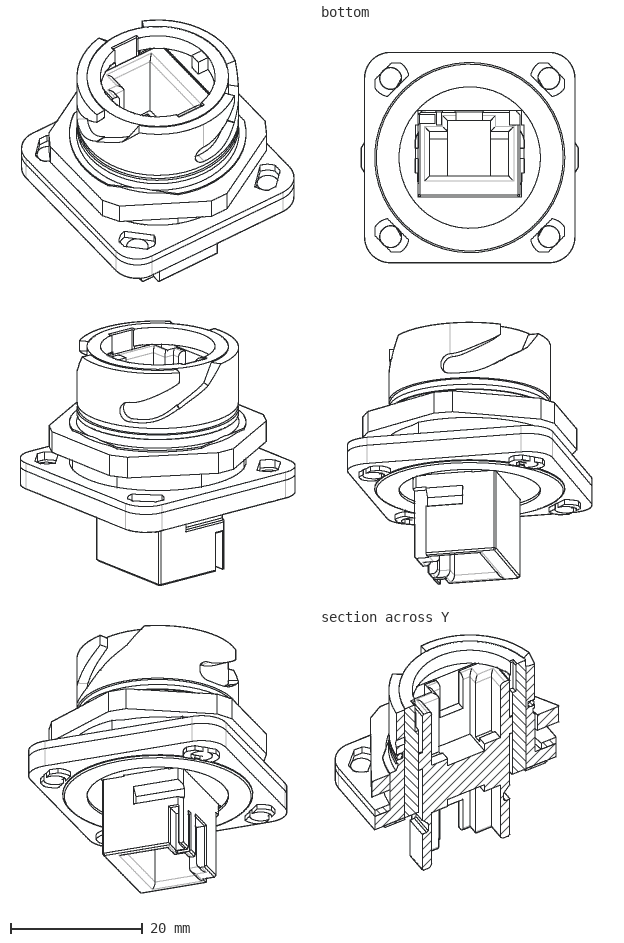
import cadquery as cq
import math


LUG_BOTTOM = 11.75
SEAL_BOTTOM = 12.12
FLANGE_BOTTOM = 12.5
FLANGE_TOP = 15.4
GASKET_TOP = 16.65
NUT_BOTTOM = 19.55
NUT_TOP = 22.85
THREAD_TOP = 23.1
RELIEF_TOP = 24.45
GROOVE_BOTTOM = 25.2
GROOVE_TOP = 26.25
COUPLER_TOP = 32.5
SLEEVE_TOP = 35.05
CORE_TOP = 35.23

FLANGE_SIDE = 32.0
FLANGE_CORNER_RADIUS = 3.95
SCREW_PITCH = 24.03
SCREW_HOLE_DIAMETER = 3.28
LUG_RADIUS = 2.8
LUG_HALF_WIDTH = 1.6
LUG_EDGE_MARGIN = 1.62

CORE_RADIUS = 10.75
SLEEVE_RADIUS = 12.3
THREAD_RADIUS = 13.42
FLAT_DISTANCE = 12.3
FLAT_ANGLES = (90, 194.5, 315)
RELIEF_RADIUS = 12.05
RELIEF_FOOT_RADIUS = 12.35
RELIEF_MID_RADIUS = 12.1

CORD_RADIUS = (GROOVE_TOP - GROOVE_BOTTOM) / 2
O_RING_RADIUS = 11.7
SEAL_RADIUS = 14.45
SEAL_CHAMFER = 0.25

SLOT_COUNT = 3
FIRST_SLOT_ANGLE = 270
SLOT_INNER_RADIUS = 10.2
SLOT_OUTER_RADIUS = 13.4
SLOT_END_ANGLE = -29.5
SLOT_END_RADIUS = 1.55
SLOT_END_Z = 28.6
ABOVE_TOP = 35.95
CHANNEL_SECTIONS = (
    (SLOT_END_ANGLE, SLOT_END_Z - SLOT_END_RADIUS, SLOT_END_Z + SLOT_END_RADIUS),
    (-20, 27.05, 30.58),
    (-10, 27.45, 31.5),
    (0.3, 28.45, 32.6),
    (8.4, 29.6, 33.75),
)
MOUTH_SECTIONS = (
    (7, 6.5, 29.25),
    (15.6, 13.6, 30.3),
    (24.2, 21, 31.2),
    (32.8, 28.3, 32.2),
)
LEAD_IN_SECTIONS = (MOUTH_SECTIONS[-1], (39.5, 43.4, SLEEVE_TOP))

BORE_RADIUS = 8.7
KEY_WIDTH = 1.75
KEY_TIP_Y = 6.87
KEY_ROOT_Y = 8.77
KEY_TOP = 35.1
WINDOW_HALF_WIDTH = 7.9
WIDE_WINDOW_HALF_WIDTH = 8.25
WIDE_WINDOW_FRONT = -4.93
LATCH_HALF_WIDTH = 9.05
LATCH_POCKET_BOTTOM = 29.6
LATCH_CHAMFER = 0.2
LATCH_POCKET_HALF_LENGTH = 2.33

NUT_ACROSS_FLATS = 30.0
NUT_ACROSS_CORNERS = 32.98
NUT_BORE_RADIUS = 12.75

COUPLER_CENTER_X = -0.1
COUPLER_HALF_WIDTH = 7.75
COUPLER_LEFT = COUPLER_CENTER_X - COUPLER_HALF_WIDTH
COUPLER_RIGHT = COUPLER_CENTER_X + COUPLER_HALF_WIDTH
COUPLER_FRONT = -7.1
COUPLER_BACK = 6.0
COUPLER_CHAMFER = 0.28
FRONT_CORNER_CHAMFER = 0.65
PORT_HALF_WIDTH = 6.02
PORT_BACK = 2.82
PORT_SHOULDER = -3.95
PORT_NECK_HALF_WIDTH = 3.25
PORT_FRONT = -5.6
PORT_DEPTH = 11.27
PORT_LIP = 0.78
KEYWAY_HALF_WIDTH = 2.22
KEYWAY_DEPTH = 6.98
SLOT_BEVEL = 0.2
PORT_LEDGE_BACK = -2.82
LEDGE_STEP = 0.7
SNAP_BACK = 0.8
SNAP_DEPTH = 1.05
SNAP_SILL_DEPTH = 0.78
SNAP_BOTTOM = 7.68
SNAP_SILL_TOP = 7.93
SNAP_RAMP_BOTTOM = 9.35
SNAP_TOP = 10.57
FINGER_TOP = 6.35
FINGER_BACK = -4.93
FINGER_FRONT = -6.73
FINGER_RIGHT = -5.25
FINGER_SLOT_RIGHT = -4.05
RECESS_LEFT = 6.05
RECESS_BACK = -4.93
RECESS_TOP = 10.75
NOTCH_LEFT = 3.8
NOTCH_BACK = -4.93
NOTCH_DEPTH = 14.1
TAB_BACK = 0.18
TAB_FRONT = -1.45
TAB_BOTTOM = 21.15
TAB_TOP = 24.65


def box(x1, x2, y1, y2, z1, z2):
    """A block between two corners."""
    return cq.Workplane("XY").box(x2 - x1, y2 - y1, z2 - z1, centered=False).translate((x1, y1, z1))


def cylinder(radius, z1, z2):
    return cq.Workplane("XY").workplane(offset=z1).circle(radius).extrude(z2 - z1)


def flange_plate(z1, z2):
    plate = cq.Workplane("XY").workplane(offset=z1).rect(FLANGE_SIDE, FLANGE_SIDE).extrude(z2 - z1)
    return plate.edges("|Z").fillet(FLANGE_CORNER_RADIUS)


def corner_lugs(z1, z2):
    """Four discs around the screw holes, cut flat towards the axis, the corner and the plate's sides."""
    limit = FLANGE_SIDE - 2 * LUG_EDGE_MARGIN
    lugs = cq.Workplane("XY").workplane(offset=z1).rect(SCREW_PITCH, SCREW_PITCH, forConstruction=True)
    lugs = lugs.vertices().circle(LUG_RADIUS).extrude(z2 - z1)
    lugs = lugs.intersect(cq.Workplane("XY").workplane(offset=z1).rect(limit, limit).extrude(z2 - z1))
    screw_radius = SCREW_PITCH / math.sqrt(2)
    band = cq.Workplane("XY").workplane(offset=z1)
    for angle in (45, 135):
        for side in (-1, 1):
            x = side * screw_radius * math.cos(math.radians(angle))
            y = side * screw_radius * math.sin(math.radians(angle))
            bar = cq.Workplane("XY").rect(2 * LUG_HALF_WIDTH, 4 * LUG_RADIUS).extrude(z2 - z1)
            bar = bar.rotate((0, 0, 0), (0, 0, 1), angle).translate((x, y, z1))
            band = band.add(bar)
    return lugs.intersect(band.combine())


def screw_holes():
    points = cq.Workplane("XY").rect(SCREW_PITCH, SCREW_PITCH, forConstruction=True).vertices()
    return points.circle(SCREW_HOLE_DIAMETER / 2).extrude(GASKET_TOP)


def bayonet_section(inner_angle, outer_angle, low, high):
    """An upright four-sided wire that crosses the sleeve wall."""
    corners = []
    for radius, angle, z in (
        (SLOT_INNER_RADIUS, inner_angle, low),
        (SLOT_OUTER_RADIUS, outer_angle, low),
        (SLOT_OUTER_RADIUS, outer_angle, high),
        (SLOT_INNER_RADIUS, inner_angle, high),
    ):
        turn = math.radians(angle)
        corners.append(cq.Vector(radius * math.cos(turn), radius * math.sin(turn), z))
    return cq.Wire.makePolygon(corners, close=True)


def bayonet_slot():
    """Round blind end, rising channel, open mouth and lead-in of one slot, about the +X direction."""
    end = cq.Workplane("YZ").workplane(offset=SLOT_INNER_RADIUS).center(0, SLOT_END_Z).circle(SLOT_END_RADIUS)
    end = end.extrude(SLOT_OUTER_RADIUS - SLOT_INNER_RADIUS).rotate((0, 0, 0), (0, 0, 1), SLOT_END_ANGLE)
    channel = cq.Solid.makeLoft([bayonet_section(a, a, low, high) for a, low, high in CHANNEL_SECTIONS])
    slot = end.union(cq.Workplane(channel))
    for sections in (MOUTH_SECTIONS, LEAD_IN_SECTIONS):
        opening = cq.Solid.makeLoft([bayonet_section(i, o, low, ABOVE_TOP) for i, o, low in sections])
        slot = slot.union(cq.Workplane(opening))
    return slot


def make_shell():
    profile = (
        cq.Workplane("XZ")
        .moveTo(CORE_RADIUS, FLANGE_BOTTOM)
        .lineTo(THREAD_RADIUS, FLANGE_BOTTOM)
        .lineTo(THREAD_RADIUS, THREAD_TOP)
        .lineTo(RELIEF_FOOT_RADIUS, THREAD_TOP)
        .threePointArc((RELIEF_MID_RADIUS, (THREAD_TOP + RELIEF_TOP) / 2), (RELIEF_RADIUS, RELIEF_TOP))
        .lineTo(SLEEVE_RADIUS, RELIEF_TOP)
        .lineTo(SLEEVE_RADIUS, GROOVE_BOTTOM)
        .lineTo(O_RING_RADIUS - CORD_RADIUS, GROOVE_BOTTOM)
        .lineTo(O_RING_RADIUS - CORD_RADIUS, GROOVE_TOP)
        .lineTo(SLEEVE_RADIUS, GROOVE_TOP)
        .lineTo(SLEEVE_RADIUS, SLEEVE_TOP)
        .lineTo(CORE_RADIUS, SLEEVE_TOP)
        .close()
    )
    shell = profile.revolve(360, (0, 0, 0), (0, 1, 0))
    for angle in FLAT_ANGLES:
        flat = box(FLAT_DISTANCE, 2 * FLAT_DISTANCE, -THREAD_RADIUS, THREAD_RADIUS, FLANGE_TOP, RELIEF_TOP)
        shell = shell.cut(flat.rotate((0, 0, 0), (0, 0, 1), angle))
    for index in range(SLOT_COUNT):
        angle = FIRST_SLOT_ANGLE + index * 360 / SLOT_COUNT
        shell = shell.cut(bayonet_slot().rotate((0, 0, 0), (0, 0, 1), angle))
    flange = flange_plate(FLANGE_BOTTOM, FLANGE_TOP).cut(cylinder(CORE_RADIUS, FLANGE_BOTTOM, FLANGE_TOP))
    shell = shell.union(flange).union(corner_lugs(LUG_BOTTOM, FLANGE_BOTTOM))
    return shell.cut(screw_holes())


def make_gasket():
    gasket = flange_plate(FLANGE_TOP, GASKET_TOP)
    gasket = gasket.cut(cylinder(THREAD_RADIUS, FLANGE_TOP, GASKET_TOP))
    return gasket.cut(corner_lugs(FLANGE_TOP, GASKET_TOP))


def make_rear_seal():
    seal = cylinder(SEAL_RADIUS, SEAL_BOTTOM, FLANGE_BOTTOM).faces("<Z").edges().chamfer(SEAL_CHAMFER)
    return seal.cut(cylinder(CORE_RADIUS, SEAL_BOTTOM, FLANGE_BOTTOM))


def make_o_ring():
    middle = (GROOVE_BOTTOM + GROOVE_TOP) / 2
    return cq.Workplane(cq.Solid.makeTorus(O_RING_RADIUS, CORD_RADIUS, cq.Vector(0, 0, middle)))


def make_nut(shell):
    """Hexagon nut with cut corners. Its round bore opens into the thread between the shell's flats."""
    height = NUT_TOP - NUT_BOTTOM
    base = cq.Workplane("XY").workplane(offset=NUT_BOTTOM)
    nut = base.polygon(6, NUT_ACROSS_FLATS / math.cos(math.pi / 6)).extrude(height)
    corners = base.polygon(6, NUT_ACROSS_CORNERS / math.cos(math.pi / 6)).extrude(height)
    nut = nut.intersect(corners.rotate((0, 0, 0), (0, 0, 1), 30))
    return nut.cut(cylinder(NUT_BORE_RADIUS, NUT_BOTTOM, NUT_TOP)).cut(shell)


def make_core():
    """Inner tube with a keyed bore, and a floor pierced by the window that holds the coupler."""
    core = cylinder(CORE_RADIUS, FLANGE_BOTTOM, CORE_TOP).cut(cylinder(BORE_RADIUS, COUPLER_TOP, CORE_TOP))
    core = core.union(box(-KEY_WIDTH / 2, KEY_WIDTH / 2, KEY_TIP_Y, KEY_ROOT_Y, COUPLER_TOP, KEY_TOP))
    for half_width, front, back in (
        (WINDOW_HALF_WIDTH, COUPLER_FRONT, COUPLER_BACK),
        (WIDE_WINDOW_HALF_WIDTH, WIDE_WINDOW_FRONT, LATCH_POCKET_HALF_LENGTH),
    ):
        core = core.cut(box(-half_width, half_width, front, back, FLANGE_BOTTOM, COUPLER_TOP))
    length = LATCH_POCKET_HALF_LENGTH
    half_width = LATCH_HALF_WIDTH - LATCH_CHAMFER
    half_length = length - LATCH_CHAMFER
    pocket = box(-half_width, half_width, -half_length, half_length, LATCH_POCKET_BOTTOM, CORE_TOP)
    pocket_mouth = cq.Workplane("XY").workplane(offset=CORE_TOP)
    pocket_mouth = pocket_mouth.rect(2 * LATCH_HALF_WIDTH, 2 * length).extrude(-LATCH_CHAMFER, taper=45)
    return core.cut(pocket).cut(pocket_mouth)


def coupler_port():
    """The space of the upper port: a wide part and a neck towards the front, over a stepped floor."""
    floor = COUPLER_TOP - PORT_DEPTH
    left = COUPLER_CENTER_X - PORT_HALF_WIDTH
    right = COUPLER_CENTER_X + PORT_HALF_WIDTH
    neck_left = COUPLER_CENTER_X - PORT_NECK_HALF_WIDTH
    neck_right = COUPLER_CENTER_X + PORT_NECK_HALF_WIDTH
    port = box(left, right, PORT_SHOULDER, PORT_BACK, floor, COUPLER_TOP)
    port = port.union(box(left, right, PORT_SHOULDER, PORT_LEDGE_BACK, floor - LEDGE_STEP, floor))
    port = port.union(box(neck_left, neck_right, PORT_FRONT, PORT_BACK, floor - 2 * LEDGE_STEP, COUPLER_TOP))
    return port


def bevelled_slot(width, height, depth):
    """Slot into a face at Y = 0, open at Z = 0, with bevelled edges at the face."""
    inner = width / 2 - SLOT_BEVEL
    slot = box(-inner, inner, 0, depth, 0, height - SLOT_BEVEL)
    face = cq.Workplane("XZ").rect(width, 2 * height)
    return slot.union(face.extrude(-SLOT_BEVEL, taper=45))


def cut_port(coupler):
    """Cut the port from above and round its mouth before the keyway opens the front wall."""
    coupler = coupler.cut(coupler_port())
    near = PORT_LIP / 2
    mouth = cq.selectors.BoxSelector(
        (COUPLER_CENTER_X - PORT_HALF_WIDTH - near, PORT_FRONT - near, COUPLER_TOP - near),
        (COUPLER_CENTER_X + PORT_HALF_WIDTH + near, PORT_BACK + near, COUPLER_TOP + near),
    )
    coupler = coupler.edges(mouth).fillet(PORT_LIP)
    keyway = bevelled_slot(2 * KEYWAY_HALF_WIDTH, KEYWAY_DEPTH, PORT_SHOULDER - COUPLER_FRONT)
    keyway = keyway.rotate((0, 0, 0), (0, 1, 0), 180)
    return coupler.cut(keyway.translate((COUPLER_CENTER_X, COUPLER_FRONT, COUPLER_TOP)))


def snap_groove():
    """Groove across the -X side with a sloped ceiling, open at the front."""
    outline = [
        (0, SNAP_BOTTOM),
        (SNAP_SILL_DEPTH, SNAP_BOTTOM),
        (SNAP_DEPTH, SNAP_SILL_TOP),
        (SNAP_DEPTH, SNAP_RAMP_BOTTOM),
        (0, SNAP_TOP),
    ]
    groove = cq.Workplane("XZ", origin=(0, SNAP_BACK, 0)).polyline(outline).close()
    return groove.extrude(SNAP_BACK - COUPLER_FRONT).translate((COUPLER_LEFT, 0, 0))


def spring_finger_slot():
    """L-shaped slot that frees a thin finger in the lower front left corner."""
    side = bevelled_slot(FINGER_BACK - FINGER_FRONT, FINGER_TOP, FINGER_RIGHT - COUPLER_LEFT)
    side = side.rotate((0, 0, 0), (0, 0, 1), -90)
    side = side.translate((COUPLER_LEFT, (FINGER_FRONT + FINGER_BACK) / 2, 0))
    front = bevelled_slot(FINGER_SLOT_RIGHT - FINGER_RIGHT, FINGER_TOP, FINGER_BACK - COUPLER_FRONT)
    front = front.translate(((FINGER_RIGHT + FINGER_SLOT_RIGHT) / 2, COUPLER_FRONT, 0))
    return side.union(front)


def front_corner_chamfer(x, inward, z1):
    """Wedge that chamfers an upright front edge from z1 up."""
    outline = [(0, 0), (inward * FRONT_CORNER_CHAMFER, 0), (0, FRONT_CORNER_CHAMFER)]
    wedge = cq.Workplane("XY").polyline(outline).close().extrude(COUPLER_TOP - z1)
    return wedge.translate((x, COUPLER_FRONT, z1))


def make_coupler():
    coupler = box(COUPLER_LEFT, COUPLER_RIGHT, COUPLER_FRONT, COUPLER_BACK, 0, COUPLER_TOP)
    coupler = coupler.faces(">Y").edges("|Z").chamfer(COUPLER_CHAMFER)
    coupler = coupler.faces("<Z or >Z").edges().chamfer(COUPLER_CHAMFER)
    coupler = coupler.cut(front_corner_chamfer(COUPLER_LEFT, 1, 0))
    coupler = coupler.cut(front_corner_chamfer(COUPLER_RIGHT, -1, RECESS_TOP))
    coupler = cut_port(coupler)
    middle = (COUPLER_CENTER_X, 0, COUPLER_TOP / 2)
    beside = (COUPLER_CENTER_X, 1, COUPLER_TOP / 2)
    coupler = cut_port(coupler.rotate(middle, beside, 180)).rotate(middle, beside, 180)
    groove = snap_groove()
    opposite_groove = groove.mirror("YZ", (COUPLER_CENTER_X, 0, 0))
    coupler = coupler.cut(groove).cut(opposite_groove).cut(spring_finger_slot())
    coupler = coupler.cut(box(RECESS_LEFT, COUPLER_RIGHT, COUPLER_FRONT, RECESS_BACK, 0, RECESS_TOP))
    notch_bottom = COUPLER_TOP - NOTCH_DEPTH
    notch = box(NOTCH_LEFT, COUPLER_RIGHT, COUPLER_FRONT, NOTCH_BACK, notch_bottom, COUPLER_TOP)
    coupler = coupler.cut(notch)
    tabs = box(-WIDE_WINDOW_HALF_WIDTH, WIDE_WINDOW_HALF_WIDTH, TAB_FRONT, TAB_BACK, TAB_BOTTOM, TAB_TOP)
    hollow = box(COUPLER_LEFT, COUPLER_RIGHT, TAB_FRONT, TAB_BACK, TAB_BOTTOM, TAB_TOP)
    return coupler.union(tabs.cut(hollow))


shell = make_shell()
gasket = make_gasket()
rear_seal = make_rear_seal()
o_ring = make_o_ring()
nut = make_nut(shell)
core = make_core()
coupler = make_coupler()

result = cq.Compound.makeCompound(
    [shell.val(), gasket.val(), rear_seal.val(), o_ring.val(), nut.val(), core.val(), coupler.val()]
)